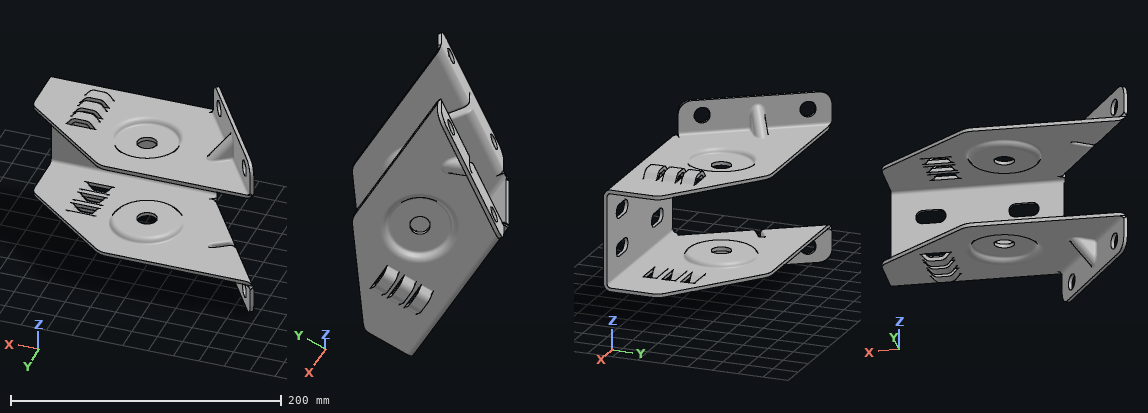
import cadquery as cq
import math


THICKNESS = 3.0
INNER_BEND = 3.0
OUTER_BEND = INNER_BEND + THICKNESS
CHANNEL_HEIGHT = 80.0
PLATE_TOP = CHANNEL_HEIGHT / 2
PLATE_BOTTOM = PLATE_TOP - THICKNESS
WEB_FRONT = -56.0
WEB_BEND_END = WEB_FRONT + OUTER_BEND
WEB_LEFT = -35.0
PLATE_RIGHT = 95.0
PLATE_REAR = 47.0

SLOPE_START_X = 20.5
SLOPE_END_Y = -12.0
SLOPE_REAR_RADIUS = 15.0
SLOPE_RIGHT_RADIUS = 10.0

FLANGE_LEFT = -101.33
FLANGE_FOOT_X = -37.0
FLANGE_TOP = 67.0
FLANGE_HEIGHT = FLANGE_TOP - PLATE_BOTTOM
FLANGE_CORNER_RADIUS = 10.0
FLANGE_RUN_X = FLANGE_FOOT_X - FLANGE_LEFT
FLANGE_RUN_Y = WEB_BEND_END - PLATE_REAR
FLANGE_LENGTH = math.hypot(FLANGE_RUN_X, FLANGE_RUN_Y)
ALONG = cq.Vector(FLANGE_RUN_X, FLANGE_RUN_Y, 0).normalized()
INWARD = cq.Vector(-ALONG.y, ALONG.x, 0)
UP = cq.Vector(0, 0, 1)
FLANGE_ORIGIN = cq.Vector(FLANGE_LEFT, PLATE_REAR, PLATE_BOTTOM)
FLANGE_HOLE_DIAMETER = 12.0
FLANGE_HOLE_SPACING = 80.0
FLANGE_HOLES = [
    ((FLANGE_LENGTH - FLANGE_HOLE_SPACING) / 2, 54.0),
    ((FLANGE_LENGTH + FLANGE_HOLE_SPACING) / 2, 55.0),
]

BEAD_OFFSET = 2.0
BEAD_POSITION = FLANGE_LENGTH / 2 - BEAD_OFFSET
BEAD_REACH = 22.0
BEAD_GROOVE_WIDTH = 4.0
BEAD_WIDTH = BEAD_GROOVE_WIDTH + 2 * THICKNESS
BEAD_FILLET = 2.0
BEAD_OVERLAP = 0.5

DISH_RADIUS = 29.6
DISH_DEPTH = 5.0
DISH_INNER_BEND = 2.5
DISH_OUTER_BEND = DISH_INNER_BEND + THICKNESS
PIVOT_DIAMETER = 15.0

LOOP_CENTER_X = 51.0
LOOP_BASE_WIDTH = 22.7
LOOP_RISE = 6.0
LOOP_ANGLE = math.radians(50)
LOOP_FOOT_RADIUS = 1.0
LOOP_WIDTH = 10.5
LOOP_BRIM = 1.0
LOOP_CENTERS_Y = [-2.0, -17.0, -32.0]

SLOT_LENGTH = 22.5
SLOT_WIDTH = 10.5
SLOT_CENTERS_X = [-5.0, 65.0]
SLOT_CENTERS_Z = [-15.0, 15.0]

MARGIN = 10.0


def flange_point(along, inward):
    """XY position at a distance along the flange and inward from its outer face."""
    point = FLANGE_ORIGIN + ALONG * along + INWARD * inward
    return point.x, point.y


def flange_plane():
    """Cross-section plane at the rear end of the flange: local x is inward, local y is up."""
    return cq.Plane(FLANGE_ORIGIN, INWARD, ALONG)


def side_plate():
    """Flat upper side plate, from the flange bend to the web bend."""
    bend_rear_x = FLANGE_LEFT + OUTER_BEND / INWARD.x
    outline = [
        (bend_rear_x, PLATE_REAR),
        (SLOPE_START_X, PLATE_REAR),
        (PLATE_RIGHT, SLOPE_END_Y),
        (PLATE_RIGHT, WEB_BEND_END),
        (FLANGE_FOOT_X, WEB_BEND_END),
        flange_point(FLANGE_LENGTH, OUTER_BEND),
    ]
    plate = cq.Workplane("XY", origin=(0, 0, PLATE_BOTTOM)).polyline(outline).close().extrude(THICKNESS)
    rear_corner = cq.NearestToPointSelector((SLOPE_START_X, PLATE_REAR, PLATE_TOP - THICKNESS / 2))
    plate = plate.edges(rear_corner).fillet(SLOPE_REAR_RADIUS)
    right_corner = cq.NearestToPointSelector((PLATE_RIGHT, SLOPE_END_Y, PLATE_TOP - THICKNESS / 2))
    return plate.edges(right_corner).fillet(SLOPE_RIGHT_RADIUS)


def flange_bend():
    """Quarter bend between side plate and flange, its rear end trimmed to the plate edge."""
    diagonal = math.sqrt(0.5)
    outer_mid = OUTER_BEND * (1 - diagonal)
    inner_mid = OUTER_BEND - INNER_BEND * diagonal
    bend = (
        cq.Workplane(flange_plane())
        .moveTo(OUTER_BEND, 0)
        .threePointArc((outer_mid, outer_mid), (0, OUTER_BEND))
        .lineTo(THICKNESS, OUTER_BEND)
        .threePointArc((inner_mid, inner_mid), (OUTER_BEND, THICKNESS))
        .close()
        .extrude(FLANGE_LENGTH)
    )
    flange_rear = PLATE_REAR + THICKNESS * INWARD.y
    bend_top = PLATE_BOTTOM + OUTER_BEND
    trim_width = OUTER_BEND / INWARD.x + 2 * MARGIN
    waste = (
        cq.Workplane("YZ", origin=(FLANGE_LEFT - MARGIN, 0, 0))
        .polyline([
            (PLATE_REAR, PLATE_BOTTOM),
            (PLATE_REAR, PLATE_TOP),
            (flange_rear, bend_top),
            (flange_rear + MARGIN, bend_top),
            (flange_rear + MARGIN, PLATE_BOTTOM),
        ])
        .close()
        .extrude(trim_width)
    )
    return bend.cut(waste)


def flange_wall():
    """Upright flange with rounded free corners."""
    face_plane = cq.Plane(FLANGE_ORIGIN, ALONG, INWARD * -1)
    wall_height = FLANGE_HEIGHT - OUTER_BEND
    wall = (
        cq.Workplane(face_plane)
        .center(FLANGE_LENGTH / 2, OUTER_BEND + wall_height / 2)
        .rect(FLANGE_LENGTH, wall_height)
        .extrude(-THICKNESS)
    )
    for end in (0, FLANGE_LENGTH):
        x, y = flange_point(end, THICKNESS / 2)
        wall = wall.edges(cq.NearestToPointSelector((x, y, FLANGE_TOP))).fillet(FLANGE_CORNER_RADIUS)
    return wall


def bead_prism(width, crest):
    """Round-crested bar lying at 45 degrees across the bend, crest at the given height."""
    center = FLANGE_ORIGIN + ALONG * BEAD_POSITION
    bar_length = 4 * BEAD_REACH
    radius = width / 2
    return (
        cq.Workplane(cq.Plane(center, ALONG, UP - INWARD))
        .moveTo(-radius, 0)
        .lineTo(radius, 0)
        .lineTo(radius, crest - radius)
        .threePointArc((0, crest), (-radius, crest - radius))
        .close()
        .extrude(bar_length / 2, both=True)
    )


def add_bead(sheet):
    """Press a rounded stiffening bead into the inside corner of the flange bend."""
    groove_crest = BEAD_REACH * math.sqrt(0.5)
    corner = THICKNESS - BEAD_OVERLAP
    inside_size = 2 * BEAD_REACH
    inside = (
        cq.Workplane(flange_plane())
        .center(corner + inside_size / 2, corner + inside_size / 2)
        .rect(inside_size, inside_size)
        .extrude(FLANGE_LENGTH)
    )
    bead = bead_prism(BEAD_WIDTH, groove_crest + THICKNESS).intersect(inside)
    sheet = sheet.union(bead).cut(bead_prism(BEAD_GROOVE_WIDTH, groove_crest))
    bead_foot_reach = BEAD_REACH + THICKNESS * (math.sqrt(2) - 1)
    for reach, height in ((bead_foot_reach, PLATE_TOP), (BEAD_REACH, PLATE_BOTTOM)):
        x, y = flange_point(BEAD_POSITION, reach)
        sheet = sheet.edges(cq.NearestToPointSelector((x, y, height))).fillet(BEAD_FILLET)
    return sheet


def cut_flange_holes(sheet):
    """Round mounting holes through the flange."""
    for along, height in FLANGE_HOLES:
        x, y = flange_point(along, -MARGIN)
        hole = cq.Solid.makeCylinder(
            FLANGE_HOLE_DIAMETER / 2, 2 * MARGIN, cq.Vector(x, y, height), INWARD
        )
        sheet = sheet.cut(cq.Workplane(hole))
    return sheet


def dish_surface(outer_z, rim_bend, floor_bend):
    """Solid of revolution between the sheet surface at outer_z and its dished shape below."""
    turn = math.acos(1 - DISH_DEPTH / (DISH_INNER_BEND + DISH_OUTER_BEND))
    floor_radius = DISH_RADIUS - (DISH_INNER_BEND + DISH_OUTER_BEND) * math.sin(turn)
    floor_z = outer_z - DISH_DEPTH
    rim_mid = (
        DISH_RADIUS - rim_bend * math.sin(turn / 2),
        outer_z - rim_bend * (1 - math.cos(turn / 2)),
    )
    middle = (DISH_RADIUS - rim_bend * math.sin(turn), outer_z - rim_bend * (1 - math.cos(turn)))
    floor_mid = (
        floor_radius + floor_bend * math.sin(turn / 2),
        floor_z + floor_bend * (1 - math.cos(turn / 2)),
    )
    return (
        cq.Workplane("XZ")
        .moveTo(0, outer_z)
        .lineTo(DISH_RADIUS, outer_z)
        .threePointArc(rim_mid, middle)
        .threePointArc(floor_mid, (floor_radius, floor_z))
        .lineTo(0, floor_z)
        .close()
        .revolve(360, (0, 0, 0), (0, 1, 0))
    )


def add_dish(sheet):
    """Press the round pivot seat towards the inside of the channel and pierce it."""
    raised = dish_surface(PLATE_BOTTOM, DISH_INNER_BEND, DISH_OUTER_BEND)
    hollow = dish_surface(PLATE_TOP, DISH_OUTER_BEND, DISH_INNER_BEND)
    pivot_hole = cq.Workplane("XY").circle(PIVOT_DIAMETER / 2).extrude(PLATE_TOP)
    return sheet.union(raised).cut(hollow).cut(pivot_hole)


def loop_bar(center_y, base_z, base_half_width, bend, foot_radius):
    """Hat-shaped bar rising at LOOP_ANGLE from a thin brim just below base_z, with rounded bends."""
    top_half_width = base_half_width - LOOP_RISE / math.tan(LOOP_ANGLE)
    brim_half_width = base_half_width + 2 * foot_radius
    bar = (
        cq.Workplane("XZ", origin=(LOOP_CENTER_X, center_y, base_z))
        .polyline([
            (-brim_half_width, -LOOP_BRIM),
            (-brim_half_width, 0),
            (-base_half_width, 0),
            (-top_half_width, LOOP_RISE),
            (top_half_width, LOOP_RISE),
            (base_half_width, 0),
            (brim_half_width, 0),
            (brim_half_width, -LOOP_BRIM),
        ])
        .close()
        .extrude(LOOP_WIDTH / 2, both=True)
        .faces(">Z")
        .edges("|Y")
        .fillet(bend)
    )
    for foot_x in (LOOP_CENTER_X - base_half_width, LOOP_CENTER_X + base_half_width):
        foot = cq.NearestToPointSelector((foot_x, center_y, base_z))
        bar = bar.edges("|Y").edges(foot).fillet(foot_radius)
    return bar


def add_loops(sheet):
    """Lance and raise the strap loops out of the side plate, keeping the sheet thickness."""
    outer_half = LOOP_BASE_WIDTH / 2
    inner_half = outer_half - THICKNESS * math.tan(LOOP_ANGLE / 2)
    inner_foot_radius = LOOP_FOOT_RADIUS + THICKNESS
    for center_y in LOOP_CENTERS_Y:
        strap = loop_bar(center_y, PLATE_TOP, outer_half, OUTER_BEND, LOOP_FOOT_RADIUS)
        opening = loop_bar(center_y, PLATE_BOTTOM, inner_half, INNER_BEND, inner_foot_radius)
        sheet = sheet.union(strap).cut(opening)
    return sheet


def side():
    """Complete upper side: plate, bend and flange with all their features."""
    sheet = side_plate().union(flange_bend()).union(flange_wall())
    sheet = add_bead(sheet)
    sheet = cut_flange_holes(sheet)
    sheet = add_dish(sheet)
    return add_loops(sheet)


def web():
    """Front web with its bends; its flat end is square and its bends taper to the flanges."""
    sheet_length = PLATE_RIGHT - FLANGE_FOOT_X
    web_depth = WEB_BEND_END - WEB_FRONT
    channel = (
        cq.Workplane("YZ", origin=(FLANGE_FOOT_X, WEB_BEND_END, 0))
        .rect(2 * web_depth, CHANNEL_HEIGHT)
        .extrude(sheet_length)
        .edges("|X and <Y")
        .fillet(OUTER_BEND)
    )
    cavity = (
        cq.Workplane("YZ", origin=(FLANGE_FOOT_X, WEB_BEND_END, 0))
        .rect(2 * (web_depth - THICKNESS), 2 * PLATE_BOTTOM)
        .extrude(sheet_length)
        .edges("|X and <Y")
        .fillet(INNER_BEND)
    )
    plan = (
        cq.Workplane("XY")
        .polyline([
            (FLANGE_FOOT_X, WEB_BEND_END),
            (WEB_LEFT, WEB_FRONT),
            (PLATE_RIGHT, WEB_FRONT),
            (PLATE_RIGHT, WEB_BEND_END),
        ])
        .close()
        .extrude(PLATE_TOP, both=True)
    )
    flat_height = CHANNEL_HEIGHT - 2 * OUTER_BEND
    flat_end = (
        cq.Workplane("YZ", origin=(FLANGE_FOOT_X, WEB_BEND_END, 0))
        .rect(2 * web_depth, flat_height)
        .extrude(WEB_LEFT - FLANGE_FOOT_X)
    )
    return channel.cut(cavity).intersect(plan).cut(flat_end)


def web_slots():
    """Cutters for the four horizontal slots in the web."""
    return (
        cq.Workplane("XZ", origin=(0, WEB_BEND_END, 0))
        .pushPoints([(x, z) for x in SLOT_CENTERS_X for z in SLOT_CENTERS_Z])
        .slot2D(SLOT_LENGTH, SLOT_WIDTH)
        .extrude(OUTER_BEND)
    )


upper_side = side()
lower_side = upper_side.mirror("XY")
result = web().cut(web_slots()).union(upper_side).union(lower_side)